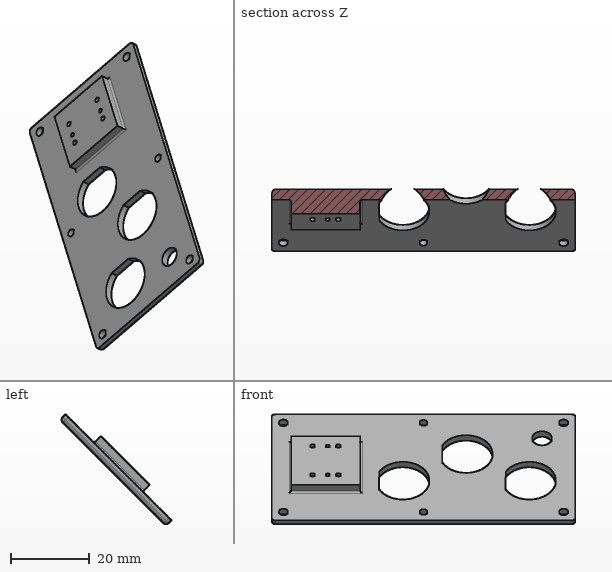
import cadquery as cq

plate_length = 77.1
plate_width = 38.1
plate_thickness = 2.0
corner_radius = 1.0
underside_radius = 1.0
tilt_angle = 45

mount_pitch_x = 35.5
mount_pitch_y = 32.0
corner_hole_diameter = 2.3
middle_hole_diameter = 2.0

block_side = 17.5
block_height = 2.5
block_center_x = -24.8
foot_radius = 0.5

pin_row_spacing = 10.3
outer_pin_diameter = 1.2
inner_pin_diameter = 1.0
pins = [
    (-3.3, outer_pin_diameter),
    (0.55, inner_pin_diameter),
    (3.2, outer_pin_diameter),
]

opening_diameter = 13.5
opening_flat_offset = 6.0
opening_pitch_x = 16.0
opening_middle_x = 10.8
opening_stagger_y = 4.8

round_hole_diameter = 5.0
round_hole_center = (30.05, 10.4)

cut_height = plate_thickness + block_height


def make_plate():
    """Plate with rounded corners and a rounded underside edge."""
    plate = cq.Workplane("XY").box(
        plate_length, plate_width, plate_thickness, centered=(True, True, False)
    )
    return plate.edges("|Z").fillet(corner_radius).faces("<Z").edges().fillet(underside_radius)


def make_block():
    """Square block with a concave fillet spreading onto the plate."""
    foot_side = block_side + 2 * foot_radius
    foot = cq.Workplane("XY").box(foot_side, foot_side, foot_radius, centered=(True, True, False))
    upper = cq.Workplane("XY").box(block_side, block_side, block_height, centered=(True, True, False))
    half_foot = foot_side / 2
    for quarter_turn in range(4):
        cove = (
            cq.Workplane("XZ")
            .center(half_foot, foot_radius)
            .circle(foot_radius)
            .extrude(half_foot, both=True)
            .rotate((0, 0, 0), (0, 0, 1), 90 * quarter_turn)
        )
        foot = foot.cut(cove)
    return foot.union(upper).translate((block_center_x, 0, plate_thickness))


def round_cutter(x, y, diameter):
    return cq.Workplane("XY").center(x, y).circle(diameter / 2).extrude(cut_height)


def opening_cutter(x, y):
    """Round cutter trimmed by a flat on its -X side."""
    keep = (
        cq.Workplane("XY")
        .box(opening_diameter, opening_diameter, cut_height, centered=(False, True, False))
        .translate((x - opening_flat_offset, y, 0))
    )
    return round_cutter(x, y, opening_diameter).intersect(keep)


panel = make_plate().union(make_block())

for side in (-1, 1):
    for column in (-1, 0, 1):
        mount_diameter = middle_hole_diameter if column == 0 else corner_hole_diameter
        panel = panel.cut(
            round_cutter(column * mount_pitch_x, side * mount_pitch_y / 2, mount_diameter)
        )
    for pin_offset, pin_diameter in pins:
        panel = panel.cut(
            round_cutter(block_center_x + pin_offset, side * pin_row_spacing / 2, pin_diameter)
        )

for column in (-1, 0, 1):
    opening_y = opening_stagger_y if column == 0 else -opening_stagger_y
    panel = panel.cut(opening_cutter(opening_middle_x + column * opening_pitch_x, opening_y))

panel = panel.cut(round_cutter(*round_hole_center, round_hole_diameter))

result = panel.rotate((0, 0, 0), (1, 0, 0), tilt_angle)